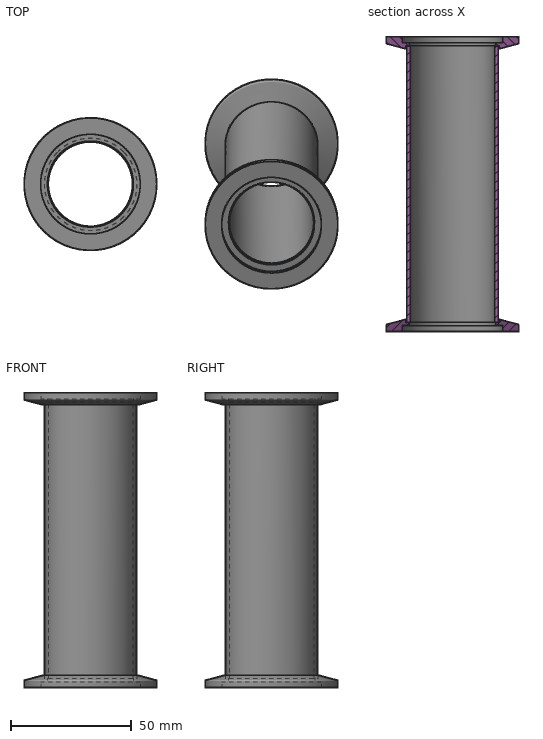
import cadquery as cq
import math

overall_length = 121.9

tube_outer_diameter = 38.1
tube_inner_diameter = 34.8

flange_diameter = 54.9
rim_thickness = 3.0
rim_edge_radius = 0.5
taper_angle = 15.0
hub_diameter = 39.2
flange_bore_diameter = 35.58

recess_diameter = 41.2
recess_depth = 2.5

socket_diameter = 38.35
socket_floor_depth = 3.8

taper_height = (flange_diameter - hub_diameter) / 2 * math.tan(math.radians(taper_angle))
flange_height = rim_thickness + taper_height
tube_length = overall_length - 2 * socket_floor_depth


def make_tube():
    """Straight tube that ends on the floor of each flange socket."""
    return (
        cq.Workplane("XY")
        .workplane(offset=-tube_length / 2)
        .circle(tube_outer_diameter / 2)
        .circle(tube_inner_diameter / 2)
        .extrude(tube_length)
    )


def make_flange():
    """Flange with its sealing face on the XY plane, its body below and the axis along Z."""
    bore_radius = flange_bore_diameter / 2
    recess_radius = recess_diameter / 2
    socket_radius = socket_diameter / 2
    hub_radius = hub_diameter / 2
    rim_radius = flange_diameter / 2

    taper = math.radians(taper_angle)
    tangent_length = rim_edge_radius * math.tan((math.pi / 2 - taper) / 2)

    section = (
        cq.Workplane("XZ")
        .moveTo(recess_radius, 0)
        .lineTo(rim_radius, 0)
        .lineTo(rim_radius, -rim_thickness + tangent_length)
        .tangentArcPoint(
            (rim_radius - tangent_length * math.cos(taper), -rim_thickness - tangent_length * math.sin(taper)),
            relative=False,
        )
        .lineTo(hub_radius, -flange_height)
        .lineTo(socket_radius, -flange_height)
        .lineTo(socket_radius, -socket_floor_depth)
        .lineTo(bore_radius, -socket_floor_depth)
        .lineTo(bore_radius, -recess_depth)
        .lineTo(recess_radius, -recess_depth)
        .close()
    )
    return section.revolve(360, (0, 0, 0), (0, 1, 0))


tube = make_tube()

flanges = []
for flip_angle in (0, 180):
    flange = make_flange().translate((0, 0, overall_length / 2))
    flanges.append(flange.rotate((0, 0, 0), (1, 0, 0), flip_angle))

result = cq.Compound.makeCompound([tube.val(), *[flange.val() for flange in flanges]])